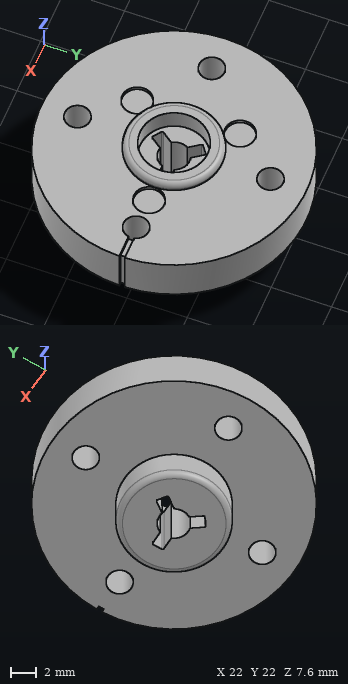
import cadquery as cq

HUB_HEIGHT = 2.9
FLANGE_THICKNESS = 4.0
COLLAR_HEIGHT = 0.7
FLANGE_BOTTOM = HUB_HEIGHT
FLANGE_TOP = FLANGE_BOTTOM + FLANGE_THICKNESS
COLLAR_TOP = FLANGE_TOP + COLLAR_HEIGHT

FLANGE_DIAMETER = 22.0
FLANGE_RADIUS = FLANGE_DIAMETER / 2
HUB_DIAMETER = 9.0
COLLAR_DIAMETER = 8.0
EDGE_RADIUS = 0.5
BORE_DIAMETER = 5.6
BORE_DEPTH = 1.8

KEYHOLE_DIAMETER = 2.6
KEY_WIDTH = 1.0
KEY_REACH = 2.42
KEY_CORNER_RADIUS = 0.12
KEY_ANGLES = (0, 126, -126)

MOUNT_HOLE_DIAMETER = 2.1
MOUNT_HOLE_COUNT = 4
MOUNT_CIRCLE_RADIUS = 8.0

MARKER_DIAMETER = 2.5
MARKER_CIRCLE_RADIUS = 5.27
MARKER_DEPTH = 0.3

GROOVE_WIDTH = 0.45
GROOVE_DEPTH = 0.3
NOTCH_DEPTH = 0.3


def cylinder(diameter, bottom, top):
    """Cylinder on the main axis between two heights."""
    return cq.Workplane("XY").workplane(offset=bottom).circle(diameter / 2).extrude(top - bottom)


def radial_box(inner, outer, width, bottom, top):
    """Box lying along +X from one radius to another, centred on the X axis."""
    return (
        cq.Workplane("XY")
        .workplane(offset=bottom)
        .center((inner + outer) / 2, 0)
        .rect(outer - inner, width)
        .extrude(top - bottom)
    )


def turned(shape, angle):
    """Copy of a shape rotated about the main axis."""
    return shape.rotate((0, 0, 0), (0, 0, 1), angle)


def make_body():
    """Flange with a rounded hub below and a rounded collar above."""
    hub = cylinder(HUB_DIAMETER, 0, FLANGE_TOP).faces("<Z").edges().fillet(EDGE_RADIUS)
    collar = cylinder(COLLAR_DIAMETER, FLANGE_BOTTOM, COLLAR_TOP).faces(">Z").edges().fillet(EDGE_RADIUS)
    flange = cylinder(FLANGE_DIAMETER, FLANGE_BOTTOM, FLANGE_TOP)
    return flange.union(hub).union(collar)


def cut_bore(body):
    """Blind bore from the top of the collar."""
    return body.cut(cylinder(BORE_DIAMETER, COLLAR_TOP - BORE_DEPTH, COLLAR_TOP))


def cut_keyhole(body):
    """Central hole with three radial key slots, running through the bore floor."""
    body = body.cut(cylinder(KEYHOLE_DIAMETER, 0, COLLAR_TOP))
    slot = radial_box(0, KEY_REACH, KEY_WIDTH, 0, COLLAR_TOP).edges("|Z and >X").fillet(KEY_CORNER_RADIUS)
    for angle in KEY_ANGLES:
        body = body.cut(turned(slot, angle))
    return body


def cut_mount_holes(body):
    """Through holes evenly spaced around the flange."""
    holes = (
        cq.Workplane("XY")
        .polarArray(MOUNT_CIRCLE_RADIUS, 0, 360, MOUNT_HOLE_COUNT)
        .circle(MOUNT_HOLE_DIAMETER / 2)
        .extrude(COLLAR_TOP)
    )
    return body.cut(holes)


def cut_markers(body):
    """Round pockets in the flange top just outside the collar wall."""
    pocket = cylinder(MARKER_DIAMETER, FLANGE_TOP - MARKER_DEPTH, FLANGE_TOP)
    pocket = pocket.translate((MARKER_CIRCLE_RADIUS, 0, 0))
    for angle in KEY_ANGLES:
        body = body.cut(turned(pocket, angle))
    return body


def cut_index_groove(body):
    """Shallow groove in the flange top ending in a notch down the rim."""
    groove_floor = FLANGE_TOP - GROOVE_DEPTH
    notch_floor = FLANGE_RADIUS - NOTCH_DEPTH
    groove = radial_box(MOUNT_CIRCLE_RADIUS, FLANGE_RADIUS, GROOVE_WIDTH, groove_floor, FLANGE_TOP)
    notch = radial_box(notch_floor, FLANGE_RADIUS, GROOVE_WIDTH, FLANGE_BOTTOM, FLANGE_TOP)
    return body.cut(groove).cut(notch)


result = make_body()
result = cut_bore(result)
result = cut_keyhole(result)
result = cut_mount_holes(result)
result = cut_markers(result)
result = cut_index_groove(result)